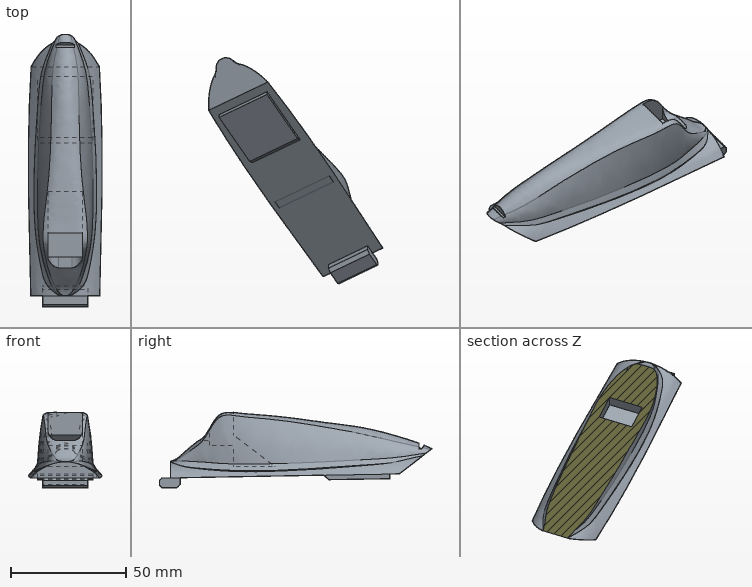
import cadquery as cq

STERN_Y = -54.3
HULL_END_Y = 60.0
UNDERSIDE_SLOPE = 0.018
HULL_STATIONS = [
    (STERN_Y, 15.0, 7.0),
    (-5.0, 16.02, 7.7),
    (45.0, 14.85, 10.3),
    (HULL_END_Y, 13.7, 11.0),
]

CABIN_STATIONS = [
    (-54.2, 3.0, 6.7, 1.6, 7.0, 1.0, 7.15, 7.2, 0.10),
    (-52.1, 5.7, 6.0, 4.4, 7.2, 3.3, 7.65, 8.0, 0.10),
    (-49.0, 8.3, 5.2, 6.3, 7.4, 5.0, 9.6, 10.5, 0.06),
    (-43.5, 10.2, 4.4, 8.3, 7.1, 7.1, 13.4, 15.2, 0.06),
    (-39.8, 11.0, 4.1, 9.3, 6.9, 8.1, 16.9, 18.5, 0.07),
    (-37.0, 11.5, 3.9, 10.0, 6.7, 8.6, 21.4, 22.7, 0.04),
    (-33.5, 12.1, 3.6, 10.8, 6.4, 9.3, 26.0, 27.2, 0.03),
    (-26.0, 13.0, 3.3, 11.7, 6.1, 9.6, 27.0, 28.3, 0.03),
    (-10.0, 13.6, 3.3, 12.1, 6.2, 7.9, 25.4, 27.0, 0.03),
    (14.0, 12.9, 4.6, 11.5, 7.1, 6.2, 21.9, 24.0, 0.04),
    (30.0, 11.8, 5.7, 10.4, 8.0, 5.9, 18.9, 21.7, 0.06),
    (45.0, 9.8, 7.1, 8.4, 9.1, 5.2, 15.4, 17.9, 0.10),
    (53.0, 7.0, 8.8, 5.7, 10.3, 3.7, 13.7, 15.3, 0.11),
    (HULL_END_Y, 4.4, 10.2, 3.6, 10.9, 2.2, 11.9, 12.3, 0.11),
]
CABIN_ROOT_DROP = 2.5
ROOF_EDGE_SLOPE = 1.0

BOW_FOOT_Y = 45.0
BOW_TIP_Y = 58.82
BOW_TIP_Z = 12.5
BOW_CUT_REACH = 10.0
BOW_CUT_HALF_WIDTH = 30.0

POCKET_HALF_WIDTH = 7.5
POCKET_BACK_Y = -27.0
POCKET_FRONT_Y = -37.4
POCKET_FLOOR_Z = 14.2
RECESS_TOP_Z = 18.7
RECESS_BOTTOM_Z = 5.0
RECESS_END_Y = -9.0
SILL_Z = 16.2
SILL_CORNER_RADIUS = 4.5
ABOVE_PART_Z = 35.0

NOTCH_HALF_WIDTH = 4.0
NOTCH_BACK_Y = 53.5
NOTCH_FLOOR_FRONT_Y = 54.5
NOTCH_LIP_Y = 55.6
NOTCH_FLOOR_Z = 12.6
NOTCH_LIP_Z = 14.0

PAD_HALF_WIDTH = 12.0
PAD_FRONT_Y = 40.8
PAD_TOP_BACK_Y = 12.1
PAD_BOTTOM_BACK_Y = 14.4
PAD_FRONT_Z = -0.35
PAD_BACK_Z = -0.75

TONGUE_HALF_WIDTH = 9.8
TONGUE_FRONT_Y = -50.0
TONGUE_END_Y = -59.05
TONGUE_BOTTOM_Z = -4.31
TONGUE_FRONT_CHAMFER = 1.6
TONGUE_END_CHAMFER = 1.1
TONGUE_OVERLAP = 0.1


def underside_z(y):
    return UNDERSIDE_SLOPE * (y - STERN_Y)


def side_prism(points, half_width):
    """Extrude a (y, z) outline symmetrically about the X = 0 plane."""
    return cq.Workplane("YZ").polyline(points).close().extrude(half_width, both=True)


def hull_section(y, half_width, crest_z):
    edge_z = underside_z(y)
    left = cq.Vector(-half_width, y, edge_z)
    right = cq.Vector(half_width, y, edge_z)
    arch = cq.Edge.makeThreePointArc(left, cq.Vector(0, y, crest_z), right)
    return cq.Wire.assembleEdges([arch, cq.Edge.makeLine(right, left)])


def cabin_section(y, flare_x, flare_z, wall_x, wall_z, shoulder_x, shoulder_z, crest_z, wall_bulge):
    root_z = flare_z - CABIN_ROOT_DROP

    def at(x, z):
        return cq.Vector(x, y, z)

    def wall(side):
        rise = shoulder_z - wall_z
        inset = wall_x - shoulder_x
        middle = at(
            side * ((wall_x + shoulder_x) / 2 + wall_bulge * rise),
            (wall_z + shoulder_z) / 2 + wall_bulge * inset,
        )
        foot = at(side * wall_x, wall_z)
        shoulder = at(side * shoulder_x, shoulder_z)
        return cq.Edge.makeThreePointArc(foot, middle, shoulder)

    roof = cq.Edge.makeSpline(
        [at(-shoulder_x, shoulder_z), at(0, crest_z), at(shoulder_x, shoulder_z)],
        tangents=[cq.Vector(1, 0, ROOF_EDGE_SLOPE), cq.Vector(1, 0, -ROOF_EDGE_SLOPE)],
    )
    outline = [at(wall_x, wall_z), at(flare_x, flare_z), at(flare_x, root_z)]
    outline += [at(-flare_x, root_z), at(-flare_x, flare_z), at(-wall_x, wall_z)]
    lines = [cq.Edge.makeLine(a, b) for a, b in zip(outline, outline[1:])]
    return cq.Wire.assembleEdges([wall(-1), roof, wall(1)] + lines)


def make_hull():
    return cq.Workplane(cq.Solid.makeLoft([hull_section(*s) for s in HULL_STATIONS]))


def make_cabin():
    return cq.Workplane(cq.Solid.makeLoft([cabin_section(*s) for s in CABIN_STATIONS]))


def bow_cutter():
    foot_z = underside_z(BOW_FOOT_Y)
    slope = (BOW_TIP_Z - foot_z) / (BOW_TIP_Y - BOW_FOOT_Y)
    low = (BOW_FOOT_Y - BOW_CUT_REACH, foot_z - slope * BOW_CUT_REACH)
    high = (BOW_TIP_Y + BOW_CUT_REACH, BOW_TIP_Z + slope * BOW_CUT_REACH)
    return side_prism([low, high, (high[0], low[1])], BOW_CUT_HALF_WIDTH)


def pocket_cutter():
    well = side_prism(
        [
            (POCKET_BACK_Y, POCKET_FLOOR_Z),
            (POCKET_BACK_Y, ABOVE_PART_Z),
            (POCKET_FRONT_Y, ABOVE_PART_Z),
            (POCKET_FRONT_Y, POCKET_FLOOR_Z),
        ],
        POCKET_HALF_WIDTH,
    )
    channel = side_prism(
        [
            (POCKET_BACK_Y, SILL_Z),
            (POCKET_BACK_Y, ABOVE_PART_Z),
            (STERN_Y, ABOVE_PART_Z),
            (STERN_Y, SILL_Z),
        ],
        POCKET_HALF_WIDTH,
    )
    channel = channel.edges("|Y and <Z").fillet(SILL_CORNER_RADIUS)
    return well.union(channel)


def recess_cutter():
    """Hollow behind the pocket, under a ceiling that slopes down toward the bow."""
    return side_prism(
        [
            (POCKET_BACK_Y, RECESS_BOTTOM_Z),
            (POCKET_BACK_Y, RECESS_TOP_Z),
            (RECESS_END_Y, RECESS_BOTTOM_Z),
        ],
        POCKET_HALF_WIDTH,
    )


def notch_cutter():
    return side_prism(
        [
            (NOTCH_BACK_Y, NOTCH_FLOOR_Z),
            (NOTCH_BACK_Y, ABOVE_PART_Z),
            (NOTCH_LIP_Y, ABOVE_PART_Z),
            (NOTCH_LIP_Y, NOTCH_LIP_Z),
            (NOTCH_FLOOR_FRONT_Y, NOTCH_FLOOR_Z),
        ],
        NOTCH_HALF_WIDTH,
    )


def make_pad():
    return side_prism(
        [
            (PAD_FRONT_Y, PAD_FRONT_Z),
            (PAD_FRONT_Y, underside_z(PAD_FRONT_Y)),
            (PAD_TOP_BACK_Y, underside_z(PAD_TOP_BACK_Y)),
            (PAD_BOTTOM_BACK_Y, PAD_BACK_Z),
        ],
        PAD_HALF_WIDTH,
    )


def make_tongue():
    return side_prism(
        [
            (TONGUE_FRONT_Y, TONGUE_OVERLAP),
            (TONGUE_FRONT_Y, TONGUE_BOTTOM_Z + TONGUE_FRONT_CHAMFER),
            (TONGUE_FRONT_Y - TONGUE_FRONT_CHAMFER, TONGUE_BOTTOM_Z),
            (TONGUE_END_Y + TONGUE_END_CHAMFER, TONGUE_BOTTOM_Z),
            (TONGUE_END_Y, TONGUE_BOTTOM_Z + TONGUE_END_CHAMFER),
            (TONGUE_END_Y, TONGUE_OVERLAP - TONGUE_END_CHAMFER),
            (TONGUE_END_Y + TONGUE_END_CHAMFER, TONGUE_OVERLAP),
        ],
        TONGUE_HALF_WIDTH,
    )


body = make_hull().union(make_cabin())
for cutter in (bow_cutter(), pocket_cutter(), recess_cutter(), notch_cutter()):
    body = body.cut(cutter)
result = body.union(make_pad()).union(make_tongue())